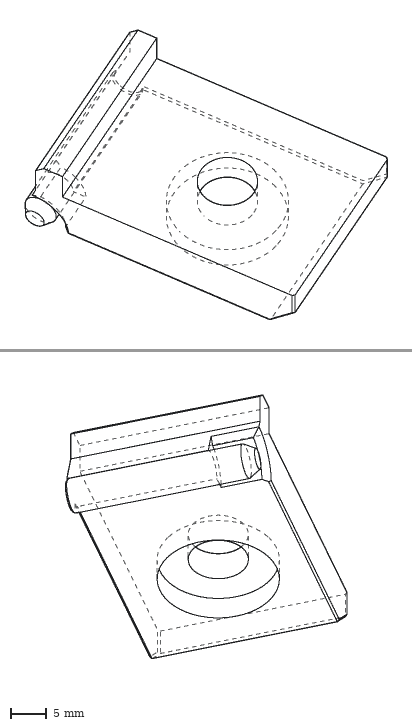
import cadquery as cq
import math

length = 44.25
width = 28.0
height = 15.4
front_y = -width / 2

pin_radius = 5.0 / 2
pin_x = pin_radius
pin_z = pin_radius
pin_tip_radius = 1.5
pin_tip_length = 1.73
pin_front_setback = 0.25
pin_back_chamfer = 0.25

plate_bottom = pin_z
plate_top = 10.65
lip_left = 2.75
lip_right = 7.1
lip_chamfer = 1.33
slope_top = 9.5
slope_bottom = 4.45
slope_angle = 20
end_bevel_run = 3.95
end_bevel_rise = 4.05
edge_chamfer = 0.3

recess_radius = 4.5
recess_depth = 7.1
recess_chamfer = 1.05
mouth_inner_x = 3.0

hole_x = 26.25
hole_y = -0.5
hole_diameter = 8.5
counterbore_diameter = 17.25
counterbore_roof = 4.6


def slope_x(z):
    """X of the sloping left face at height z."""
    return lip_left - (slope_top - z) * math.tan(math.radians(slope_angle))


def along_y(outline, start_y, depth):
    """Extrude an outline of (x, z) points from start_y toward +Y."""
    plane = cq.Workplane("XZ", origin=(0, start_y, 0))
    return plane.polyline(outline).close().extrude(-depth)


def pin_axis_plane(y):
    """Plane on the pin axis at y, with its normal along +Y."""
    return cq.Workplane(cq.Plane((pin_x, y, pin_z), (1, 0, 0), (0, 1, 0)))


def make_body():
    outline = [
        (pin_x, plate_bottom),
        (length - end_bevel_run, plate_bottom),
        (length, plate_bottom + end_bevel_rise),
        (length, plate_top),
        (lip_right, plate_top),
        (lip_right, height),
        (lip_left + lip_chamfer, height),
        (lip_left, height - lip_chamfer),
        (lip_left, slope_top),
        (slope_x(slope_bottom), slope_bottom),
    ]
    body = along_y(outline, front_y, width)
    side_edges = cq.selectors.BoxSelector(
        (pin_x, -width, 0), (2 * length, width, plate_top - edge_chamfer)
    )
    return body.edges("#Y").edges(side_edges).chamfer(edge_chamfer)


def make_pin():
    pin_length = width - pin_front_setback
    pin = pin_axis_plane(front_y + pin_front_setback).circle(pin_radius).extrude(pin_length)
    pin = pin.faces("<Y").chamfer(pin_tip_length, pin_radius - pin_tip_radius)
    return pin.faces(">Y").chamfer(pin_back_chamfer)


def make_recess():
    bore = pin_axis_plane(front_y).circle(recess_radius).extrude(recess_depth)
    mouth_radius = recess_radius + recess_chamfer
    flare = (
        pin_axis_plane(front_y)
        .circle(mouth_radius)
        .workplane(offset=recess_chamfer)
        .circle(recess_radius)
        .loft(ruled=True)
    )
    mouth_inner_z = pin_z + math.sqrt(recess_radius**2 - (mouth_inner_x - pin_x) ** 2)
    mouth_top_z = pin_z + mouth_radius
    mouth_top_x = slope_x(mouth_top_z)
    mouth = along_y(
        [
            (pin_x, pin_z),
            (mouth_inner_x, mouth_inner_z),
            (mouth_top_x, mouth_top_z),
            (mouth_top_x - recess_radius, mouth_top_z),
            (mouth_top_x - recess_radius, pin_z),
        ],
        front_y,
        recess_depth,
    )
    return bore.union(flare).union(mouth)


def make_hole():
    bottom = cq.Workplane("XY", origin=(hole_x, hole_y, plate_bottom))
    hole = bottom.circle(hole_diameter / 2).extrude(plate_top - plate_bottom)
    counterbore_depth = plate_top - plate_bottom - counterbore_roof
    return hole.union(bottom.circle(counterbore_diameter / 2).extrude(counterbore_depth))


result = make_body().cut(make_recess()).cut(make_hole()).union(make_pin())